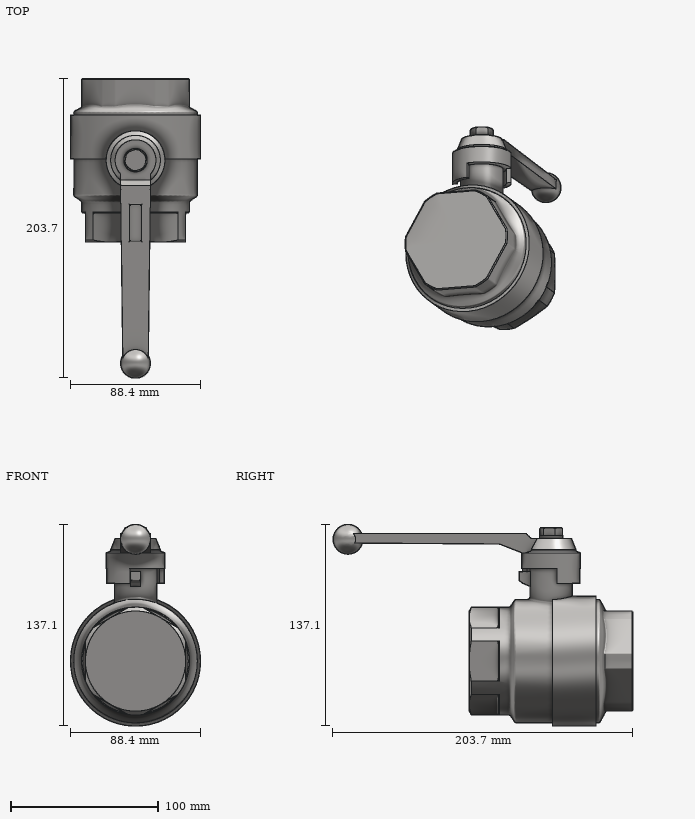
import cadquery as cq
import math


selection_slack = 0.2

half_length = 55.6
band_radius = 44.2
shell_radius = 42.0
end_radius = 36.7
flat_distance = 34.0
band_front = 0.8
band_back = 30.5
rear_cone_start = 33.0
rear_cone_end = 37.3
front_cone_start = -24.5
front_cone_end = -28.0
front_flats_start = -35.9
shoulder_fillet = 1.6
flats_runout_radius = 1.0
flats_rim_radius = 0.8
front_chamfer_length = 1.5
rear_chamfer = 0.8
rear_corner_fillet = 3.0
rear_joint_fillet = 1.0

neck_radius = 14.5
neck_fillet = 1.5
tab_width = 7.0
tab_reach = 21.8
tab_top = 60.7
tab_nose_bottom = 54.8
tab_knee_y = -19.4
tab_knee_z = 52.8
tab_root_z = 50.7
tab_nose_fillet = 1.2

hub_radius = 20.0
skirt_inner_radius = 16.7
skirt_bottom = 52.8
skirt_top = 62.7
skirt_gap_offset = 3.9
hub_shoulder = 73.5
hub_step_bottom = 74.8
hub_step_top = 75.8
hub_step_radius = 17.0
hub_top = 83.3
hub_top_radius = 13.9

collar_radius = 8.0
collar_top = 85.2
bolt_top = 90.7
bolt_corner_radius = 8.0
bolt_chamfer = 0.8
bolt_turn = 20.0

arm_top = 86.8
arm_ramp_start = -13.5
arm_ramp_end = -17.1
arm_heel_y = -20.0
arm_bend_y = -35.2
arm_bend_z = 79.5
arm_tip_z = 80.0
arm_root_half_width = 10.4
arm_tip_half_width = 8.8
arm_tip_y = -134.5
ball_radius = 10.2
overall_length = 203.7
ball_y = half_length - overall_length + ball_radius
ball_z = 82.7
arm_edge_fillet = 0.5
pocket_length = 24.7
pocket_width = 8.0
pocket_center_y = -42.5
pocket_depth = 1.32
pocket_fillet = 0.6


def hexagon(flat_to_axis, first_corner):
    """Corner points of a hexagon; first_corner is an angle in degrees."""
    corner_radius = flat_to_axis / math.cos(math.radians(30))
    angles = [math.radians(first_corner + 60 * i) for i in range(6)]
    return [(corner_radius * math.cos(a), corner_radius * math.sin(a)) for a in angles]


def revolved_about_pipe(profile):
    """Turn a closed (radius, y) profile about the Y axis."""
    return cq.Workplane("XY").polyline(profile).close().revolve(360, (0, 0, 0), (0, 1, 0))


def circle_at(y):
    """Selector for edges lying across the pipe at the given y."""
    reach = band_radius + selection_slack
    return cq.selectors.BoxSelector(
        (-reach, y - selection_slack, -reach),
        (reach, y + selection_slack, reach),
        boundingbox=True,
    )


def make_shell():
    shell = revolved_about_pipe([
        (0, rear_cone_end),
        (flat_distance, rear_cone_end),
        (shell_radius, rear_cone_start),
        (shell_radius, band_back),
        (band_radius, band_back),
        (band_radius, band_front),
        (shell_radius, band_front),
        (shell_radius, front_cone_start),
        (end_radius, front_cone_end),
        (end_radius, front_flats_start),
        (0, front_flats_start),
    ])
    for y in (rear_cone_start, front_cone_start, front_cone_end):
        shell = shell.edges(circle_at(y)).fillet(shoulder_fillet)
    return shell


def make_rear_end():
    """Hexagon with rounded corners on +X and -X."""
    length = half_length - band_back
    plane = cq.Workplane("XZ", origin=(0, half_length, 0))
    prism = plane.polyline(hexagon(flat_distance, 0)).close().extrude(length)
    turned = plane.circle(end_radius).extrude(length)
    rounded = prism.intersect(turned).edges("|Y").fillet(rear_corner_fillet)
    return rounded.faces(">Y").chamfer(rear_chamfer)


def join_rear_end(shell):
    """Unite shell and rear end, rounding the joint between cone and wrench flats."""
    joint = cq.selectors.BoxSelector(
        (-band_radius, rear_cone_start + shoulder_fillet, -band_radius),
        (band_radius, rear_cone_end + selection_slack, band_radius),
    )
    return shell.union(make_rear_end()).edges(joint).fillet(rear_joint_fillet)


def add_front_end(body):
    """Add the front end: a chamfered cylinder with six flats milled into it."""
    end = revolved_about_pipe([
        (0, front_flats_start),
        (end_radius, front_flats_start),
        (end_radius, front_chamfer_length - half_length),
        (flat_distance, -half_length),
        (0, -half_length),
    ])
    body = body.union(end)
    cut_width = 2 * end_radius
    cut_depth = 2 * (end_radius - flat_distance)
    cut_length = half_length + front_flats_start + flats_runout_radius
    rim_rounding = (
        cq.Workplane("XY")
        .moveTo(end_radius, front_flats_start)
        .lineTo(end_radius, front_flats_start + flats_rim_radius)
        .radiusArc((end_radius - flats_rim_radius, front_flats_start), -flats_rim_radius)
        .close()
        .revolve(360, (0, 0, 0), (0, 1, 0))
    )
    outside_flat = cq.Workplane("XY").box(cut_depth, cut_width, cut_width)
    outside_flat = outside_flat.translate((flat_distance + cut_depth / 2, front_flats_start, 0))
    rim_cutter = rim_rounding.intersect(outside_flat)
    for i in range(6):
        turn = 60 * i
        cutter = (
            cq.Workplane("XY")
            .box(cut_depth, 2 * cut_length, cut_width)
            .edges("|Z and >Y and <X")
            .fillet(flats_runout_radius)
            .translate((flat_distance + cut_depth / 2, front_flats_start - cut_length, 0))
            .rotate((0, 0, 0), (0, 1, 0), turn)
        )
        body = body.cut(cutter).cut(rim_cutter.rotate((0, 0, 0), (0, 1, 0), turn))
    return body


def add_neck(body):
    """Add the stem neck and round its joint with the front half of the shell."""
    body = body.union(cq.Workplane("XY").circle(neck_radius).extrude(skirt_top))
    joint = cq.selectors.BoxSelector(
        (-neck_radius, -neck_radius - selection_slack, end_radius),
        (neck_radius, -band_front, shell_radius + selection_slack),
    )
    return body.edges(joint).fillet(neck_fillet)


def make_tab():
    profile = [
        (0, tab_top),
        (-tab_reach, tab_top),
        (-tab_reach, tab_nose_bottom),
        (tab_knee_y, tab_knee_z),
        (-neck_radius, tab_root_z),
        (0, tab_root_z),
    ]
    tab = cq.Workplane("YZ").polyline(profile).close().extrude(tab_width / 2, both=True)
    return tab.faces("<Y").edges("not >Z").fillet(tab_nose_fillet)


def make_hub():
    """Turned cap with a skirt left standing in two opposite quarters."""
    cap = (
        cq.Workplane("XZ")
        .polyline([
            (0, skirt_top),
            (hub_radius, skirt_top),
            (hub_radius, hub_shoulder),
            (hub_step_radius, hub_step_bottom),
            (hub_step_radius, hub_step_top),
            (hub_top_radius, hub_top),
            (0, hub_top),
        ])
        .close()
        .revolve(360, (0, 0, 0), (0, 1, 0))
    )
    skirt_height = skirt_top - skirt_bottom
    ring = (
        cq.Workplane("XY", origin=(0, 0, skirt_bottom))
        .circle(hub_radius)
        .circle(skirt_inner_radius)
        .extrude(skirt_height)
    )
    quarter_center = skirt_gap_offset + hub_radius / 2
    quarters = (
        cq.Workplane("XY", origin=(0, 0, skirt_bottom))
        .pushPoints([(quarter_center, quarter_center), (-quarter_center, -quarter_center)])
        .rect(hub_radius, hub_radius)
        .extrude(skirt_height)
    )
    return cap.union(ring.intersect(quarters))


def make_bolt():
    collar = cq.Workplane("XY", origin=(0, 0, hub_top)).circle(collar_radius).extrude(collar_top - hub_top)
    head_height = bolt_top - collar_top
    head_plane = cq.Workplane("XY", origin=(0, 0, collar_top))
    head = head_plane.polygon(6, 2 * bolt_corner_radius).extrude(head_height)
    envelope = head_plane.circle(bolt_corner_radius).extrude(head_height).faces(">Z").chamfer(bolt_chamfer)
    head = head.intersect(envelope).rotate((0, 0, 0), (0, 0, 1), bolt_turn)
    return collar.union(head)


def make_arm():
    """Side profile of the arm, trimmed to a plan that tapers towards the ball."""
    side = (
        cq.Workplane("YZ")
        .polyline([
            (0, hub_top),
            (arm_ramp_start, hub_top),
            (arm_ramp_end, arm_top),
            (arm_tip_y, arm_top),
            (arm_tip_y, arm_tip_z),
            (arm_bend_y, arm_bend_z),
            (arm_heel_y, hub_shoulder),
            (0, hub_shoulder),
        ])
        .close()
        .extrude(arm_root_half_width, both=True)
    )
    plan = (
        cq.Workplane("XY", origin=(0, 0, hub_shoulder))
        .polyline([
            (-arm_root_half_width, 0),
            (arm_root_half_width, 0),
            (arm_tip_half_width, arm_tip_y),
            (-arm_tip_half_width, arm_tip_y),
        ])
        .close()
        .extrude(arm_top - hub_shoulder)
    )
    arm = side.intersect(plan)
    long_top_edges = cq.selectors.BoxSelector(
        (-arm_root_half_width, arm_tip_y, arm_top - selection_slack),
        (arm_root_half_width, arm_ramp_end - selection_slack, arm_top + selection_slack),
    )
    arm = arm.edges(long_top_edges).edges("not |X").fillet(arm_edge_fillet)
    pocket = (
        cq.Workplane("XY", origin=(0, pocket_center_y, arm_top - pocket_depth))
        .rect(pocket_width, pocket_length)
        .extrude(pocket_depth)
        .faces("<Z")
        .edges()
        .fillet(pocket_fillet)
    )
    rim = cq.selectors.BoxSelector(
        (-pocket_width, pocket_center_y - pocket_length, arm_top - selection_slack),
        (pocket_width, pocket_center_y + pocket_length, arm_top + selection_slack),
        boundingbox=True,
    )
    return arm.cut(pocket).edges(rim).fillet(pocket_fillet)


def make_ball():
    return cq.Workplane("XY").sphere(ball_radius).translate((0, ball_y, ball_z))


body = join_rear_end(make_shell())
body = add_front_end(body)
body = add_neck(body)
result = body.union(make_tab()).union(make_hub()).union(make_bolt()).union(make_arm()).union(make_ball())